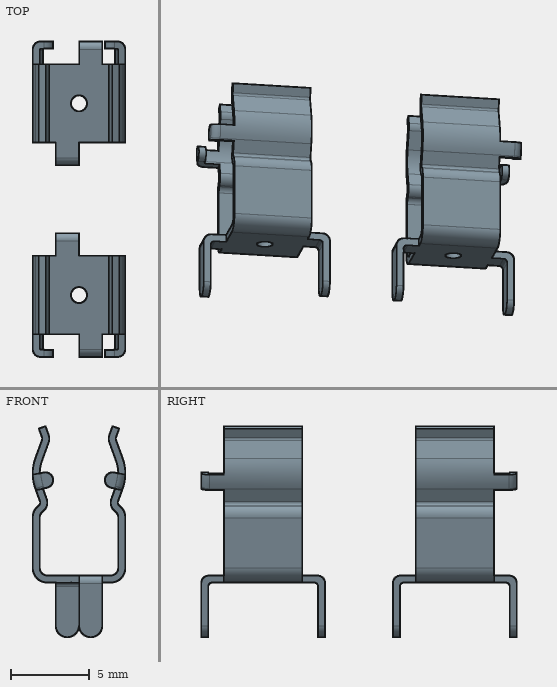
import cadquery as cq
import math

half_length = 10.05
leg_span = 7.9
clip_y = half_length - leg_span / 2

thickness = 0.46
half_width = 2.95
wall_length = 5.0
corner_radius = 0.95
hole_diameter = 1.0

flare_angle = math.radians(20)
shoulder_angle = math.radians(50)
seat_radius = 2.81
seat_x = half_width - seat_radius
seat_z = 6.95
neck_z = 5.02
lip_z = 9.17
tip_z = 9.8
shoulder_radius = 0.95
neck_radius = 0.22
lip_radius = 0.26

leg_width = 1.49
leg_bottom = -3.48
leg_outer_radius = 0.5
leg_inner_radius = 0.25

finger_width = 1.0
finger_tilt = 12.0
finger_tip_offset = 2.05
finger_outer_radius = 0.52
finger_inner_radius = 0.1


def unit(start, end):
    length = math.dist(start, end)
    return (end[0] - start[0]) / length, (end[1] - start[1]) / length


def turn_angle(before, after):
    """Signed angle from one direction to the next, positive for a left turn."""
    cross = before[0] * after[1] - before[1] * after[0]
    dot = before[0] * after[0] + before[1] * after[1]
    return math.atan2(cross, dot)


def inner_face(outer):
    """Corners and bend radii one sheet thickness to the left of the outer face."""
    points = [(x, z) for x, z, _ in outer]
    directions = [unit(a, b) for a, b in zip(points, points[1:])]
    before = [directions[0]] + directions
    after = directions + [directions[-1]]
    inner = []
    for (x, z, radius), d0, d1 in zip(outer, before, after):
        turn = turn_angle(d0, d1)
        shift = thickness / (1 + d0[0] * d1[0] + d0[1] * d1[1])
        inner_radius = radius - math.copysign(thickness, turn) if radius else 0
        inner.append((x - shift * (d0[1] + d1[1]), z + shift * (d0[0] + d1[0]), inner_radius))
    return inner


def rounded_outline(plane, corners):
    """Closed outline through (x, z, radius) corners, with an arc at each rounded corner."""
    outline = cq.Workplane(plane).moveTo(*corners[0][:2])
    for previous, corner, following in zip(corners, corners[1:], corners[2:] + corners[:1]):
        x, z, radius = corner
        if radius == 0:
            outline = outline.lineTo(x, z)
            continue
        d0 = unit(previous[:2], corner[:2])
        d1 = unit(corner[:2], following[:2])
        half_turn = abs(turn_angle(d0, d1)) / 2
        setback = radius * math.tan(half_turn)
        sagitta = radius / math.cos(half_turn) - radius
        bisector = unit(d0, d1)
        outline = outline.lineTo(x - setback * d0[0], z - setback * d0[1])
        outline = outline.threePointArc(
            (x + sagitta * bisector[0], z + sagitta * bisector[1]),
            (x + setback * d1[0], z + setback * d1[1]),
        )
    return outline.close()


def outer_face():
    """Corners and bend radii of the channel's outer face, from tip to tip."""
    slope = math.tan(flare_angle)
    seat_corner_x = seat_x + seat_radius / math.cos(flare_angle)
    neck_x = seat_corner_x - (seat_z - neck_z) * slope
    lip_x = seat_corner_x - (lip_z - seat_z) * slope
    tip_x = lip_x + (tip_z - lip_z) * slope
    shoulder_z = neck_z - (half_width - neck_x) / math.tan(shoulder_angle)
    right = [
        (half_width, 0, corner_radius),
        (half_width, shoulder_z, shoulder_radius),
        (neck_x, neck_z, neck_radius),
        (seat_corner_x, seat_z, seat_radius),
        (lip_x, lip_z, lip_radius),
        (tip_x, tip_z, 0),
    ]
    left = [(-x, z, radius) for x, z, radius in reversed(right)]
    return left + right


def sheet_profile(plane):
    """Cross-section of the bent strip that forms the base and both walls."""
    outer = outer_face()
    return rounded_outline(plane, outer + inner_face(outer)[::-1])


def channel():
    """Base and both contoured walls, with the hole through the base."""
    strip = sheet_profile("XZ").extrude(wall_length / 2, both=True)
    hole = cq.Workplane("XY").circle(hole_diameter / 2).extrude(thickness)
    return strip.cut(hole)


def leg():
    """Leg at the +Y end, on the +X side of the centre line, with a full-round foot."""
    start = wall_length / 2
    end = leg_span / 2
    strip_corners = [
        (start, 0, 0),
        (end - thickness, 0, leg_inner_radius),
        (end - thickness, leg_bottom, 0),
        (end, leg_bottom, 0),
        (end, thickness, leg_outer_radius),
        (start, thickness, 0),
    ]
    bent_strip = rounded_outline("YZ", strip_corners).extrude(leg_width)
    foot_centre_z = leg_bottom + leg_width / 2
    foot_plane = cq.Workplane("XZ", origin=(leg_width / 2, end, 0))
    foot_outline = (
        foot_plane.moveTo(-leg_width / 2, thickness)
        .lineTo(-leg_width / 2, foot_centre_z)
        .threePointArc((0, leg_bottom), (leg_width / 2, foot_centre_z))
        .lineTo(leg_width / 2, thickness)
        .close()
        .extrude(end - start)
    )
    return bent_strip.intersect(foot_outline)


def edge_near(point):
    """Selector for the edge whose middle lies close to a point."""
    reach = 0.1
    low = [value - reach for value in point]
    high = [value + reach for value in point]
    return cq.selectors.BoxSelector(low, high)


def finger():
    """Finger on the +X wall: an arm continuing the wall, bent inward to a round-ended stop."""
    end = leg_span / 2
    arm_length = end - wall_length / 2
    end_plane = cq.Plane(origin=(0, end, 0), xDir=(1, 0, 0), normal=(0, -1, 0))
    tilt = math.radians(finger_tilt)
    outward = (math.cos(tilt), 0, -math.sin(tilt))
    finger_plane = cq.Plane(origin=(seat_x, end, seat_z), xDir=outward, normal=(0, -1, 0))
    sketch = cq.Workplane(finger_plane)

    band = sketch.center(seat_radius, 0).rect(3 * thickness, finger_width).extrude(arm_length)
    arm = sheet_profile(end_plane).extrude(arm_length).intersect(band)

    stop_length = seat_radius - finger_tip_offset + thickness
    inside_outer_face = rounded_outline(end_plane, outer_face()).extrude(thickness)
    stop_bar = (
        sketch.center(finger_tip_offset + stop_length / 2, 0)
        .rect(stop_length, finger_width)
        .extrude(thickness)
        .intersect(inside_outer_face)
    )
    stop_tip = sketch.center(finger_tip_offset, 0).circle(finger_width / 2).extrude(thickness)

    outside_bend = finger_plane.toWorldCoords((seat_radius, 0, 0)).toTuple()
    inside_bend = finger_plane.toWorldCoords((seat_radius - thickness, 0, thickness)).toTuple()
    bent = arm.union(stop_bar).union(stop_tip)
    bent = bent.edges(edge_near(outside_bend)).fillet(finger_outer_radius)
    return bent.edges(edge_near(inside_bend)).fillet(finger_inner_radius)


def clip():
    """Complete clip centred on Y = 0, with its fingers at the +Y end."""
    outer_leg = leg()
    inner_leg = outer_leg.rotate((0, 0, 0), (0, 0, 1), 180)
    right_finger = finger()
    left_finger = right_finger.mirror("YZ")
    body = channel()
    for part in (outer_leg, inner_leg, right_finger, left_finger):
        body = body.union(part)
    return body


rear_clip = clip().translate((0, clip_y, 0))
front_clip = rear_clip.mirror("XZ")

result = cq.Compound.makeCompound([rear_clip.val(), front_clip.val()])